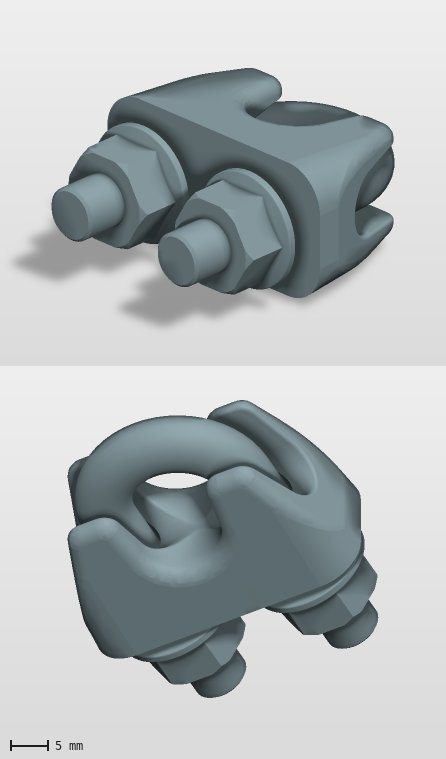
import cadquery as cq
import math

rod_diameter = 7.75
rod_radius = rod_diameter / 2
leg_spacing = 20.0
bend_radius = leg_spacing / 2
total_length = 46.35
leg_length = total_length - bend_radius - rod_radius
leg_centers = (-bend_radius, bend_radius)
rod_tip_chamfer = 0.4

nut_end = 6.6
nut_height = 7.8
hex_across_flats = 12.8
hex_across_corners = hex_across_flats / math.cos(math.radians(30))
hex_chamfer_depth = 0.85
hex_end_radius = 6.67
flange_radius = 8.5
flange_thickness = 1.1
flange_back_round = 0.2
flange_front_round = 0.3
flange_slope = 20.0
nut_base_y = -(leg_length - nut_end - nut_height)

base_length = 40.0
base_width = 20.0
base_corner_radius = 6.03
base_y = -15.0
saddle_height = 21.5
tip_y = base_y + saddle_height
draft_angle = 5.0
flank_angle = 19.2
flank_start_height = 4.05
notch_radius = 6.0
notch_flare = 8.5
prong_corner_radius = 2.5
outer_round = 2.0
channel_depth = 6.03
channel_radius = 4.65
channel_flare = 6.6
channel_round = 0.5
hole_radius = 4.3
slot_reach = 2 * tip_y
edge_margin = 0.05
rim_reach = 6.15


def on_circle(center, radius, degrees):
    """Point on a circle, with the angle counted from the first axis."""
    angle = math.radians(degrees)
    return (center[0] + radius * math.cos(angle), center[1] + radius * math.sin(angle))


def flared_slot(plane, center_y, radius, flare):
    """Cutter with a round floor and two walls that open by `flare` degrees towards +Y."""
    wall_x, wall_y = on_circle((0, center_y), radius, -flare)
    mouth_x = wall_x + (slot_reach - wall_y) * math.tan(math.radians(flare))
    return (
        cq.Workplane(plane)
        .moveTo(-mouth_x, slot_reach)
        .lineTo(-wall_x, wall_y)
        .threePointArc((0, center_y - radius), (wall_x, wall_y))
        .lineTo(mouth_x, slot_reach)
        .close()
        .extrude(base_length, both=True)
    )


def leg_cylinder(x, radius):
    """Cylinder along one leg, from the bend to the rod tip."""
    plane = cq.Plane(origin=(x, 0, 0), xDir=(0, 0, 1), normal=(0, -1, 0))
    return cq.Workplane(plane).circle(radius).extrude(leg_length)


def drafted_block():
    """Rounded rectangle on the base plane, tapering towards +Y."""
    base_plane = cq.Plane(origin=(0, base_y, 0), xDir=(1, 0, 0), normal=(0, 1, 0))
    outline = cq.Sketch().rect(base_length, base_width).vertices().fillet(base_corner_radius)
    return cq.Workplane(base_plane).placeSketch(outline).extrude(saddle_height, taper=draft_angle)


def flank_outline():
    """Trapezoid that cuts the two sloping end faces."""
    start_y = base_y + flank_start_height
    start_x = base_length / 2 - flank_start_height * math.tan(math.radians(draft_angle))
    slope = math.tan(math.radians(flank_angle))
    bottom_x = start_x + (start_y - base_y) * slope
    top_x = start_x - (tip_y - start_y) * slope
    return (
        cq.Workplane("XY")
        .polyline([(-bottom_x, base_y), (bottom_x, base_y), (top_x, tip_y), (-top_x, tip_y)])
        .close()
        .extrude(base_width, both=True)
    )


def outer_edges(body):
    """Edges between the drafted outside and the flanks, prong tips and notch."""
    size = total_length
    zone = cq.selectors.BoxSelector(
        (-size, base_y + edge_margin, -size), (size, size, size), boundingbox=True
    )
    return body.edges(zone).edges("not(|Z) or >X or <X")


def channel_rim(body):
    """Edges where the channel runs out through the flanks, the prong tips and the notch."""
    size = total_length
    zone = cq.selectors.BoxSelector(
        (-size, -rim_reach, -rim_reach), (size, size, rim_reach), boundingbox=True
    )
    return body.edges(zone).edges("not(|X) or >Y")


def make_saddle():
    """Drafted saddle with a rope notch, a channel for the bend and two leg holes."""
    body = drafted_block().intersect(flank_outline())
    body = body.cut(flared_slot("XY", 0, notch_radius, notch_flare))
    body = body.faces(">Y").edges("|Z").fillet(prong_corner_radius)
    body = outer_edges(body).fillet(outer_round)
    channel_center_y = channel_radius - channel_depth
    body = body.cut(flared_slot("ZY", channel_center_y, channel_radius, channel_flare))
    body = channel_rim(body).fillet(channel_round)
    for x in leg_centers:
        body = body.cut(leg_cylinder(x, hole_radius))
    return body


def hex_prism(x):
    """Hexagon of the nut, with its end corners cut by a cone."""
    prism = (
        cq.Workplane("XZ", origin=(x, nut_base_y, 0))
        .polygon(6, hex_across_corners)
        .extrude(nut_height)
    )
    slope = hex_chamfer_depth / (hex_across_corners / 2 - hex_end_radius)
    cone_height = nut_height + hex_end_radius * slope
    cone = (
        cq.Workplane("XY")
        .polyline([(0, 0), (cone_height / slope, 0), (hex_end_radius, -nut_height), (0, -nut_height)])
        .close()
        .revolve(360, (0, 0), (0, 1))
        .translate((x, nut_base_y, 0))
    )
    return prism.intersect(cone)


def flange(x):
    """Round flange of the nut, with a rounded rim and a conical front."""
    cone_top = flange_thickness + flange_radius * math.tan(math.radians(flange_slope))
    disc = (
        cq.Workplane("ZY")
        .polyline([(0, 0), (flange_radius, 0), (flange_radius, -flange_thickness), (0, -cone_top)])
        .close()
        .revolve(360, (0, 0), (0, 1))
    )
    disc = disc.faces(">Y").edges().fillet(flange_back_round)
    disc = disc.edges("%CIRCLE").edges("<Y").fillet(flange_front_round)
    return disc.translate((x, nut_base_y, 0))


def make_bolt():
    """U-bolt in one piece with its two flange nuts."""
    body = (
        cq.Workplane("XZ")
        .center(bend_radius, 0)
        .circle(rod_radius)
        .revolve(180, (-bend_radius, 0), (-bend_radius, 1))
    )
    for x in leg_centers:
        leg = leg_cylinder(x, rod_radius).faces("<Y").chamfer(rod_tip_chamfer)
        body = body.union(leg).union(flange(x)).union(hex_prism(x))
    return body


saddle = make_saddle()
bolt = make_bolt()
result = cq.Compound.makeCompound([saddle.val(), bolt.val()])